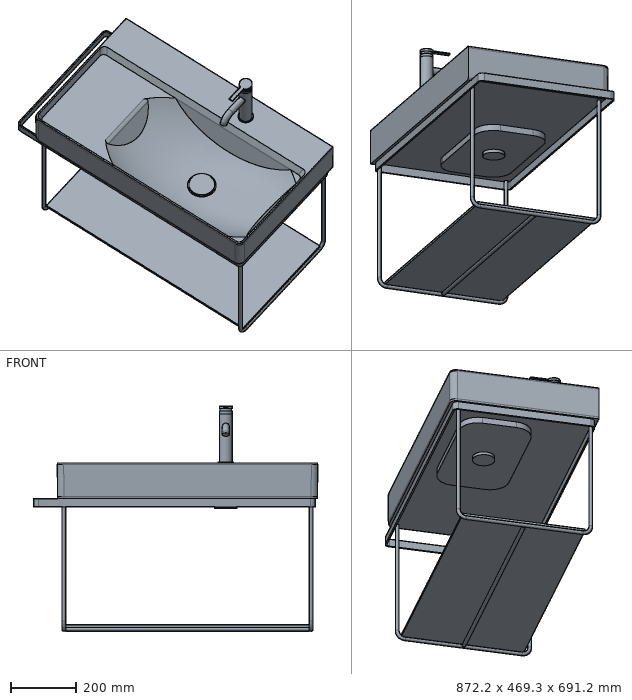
import cadquery as cq
import math


BASIN_WIDTH = 800.0
BASIN_DEPTH = 469.3
BASIN_HEIGHT = 110.0
BASIN_CORNER_RADIUS = 20.0
SIDE_LEAN = 0.5
TOP_EDGE_HEIGHT = 5.5
TOP_EDGE_INSET = 1.5
FOOT_HEIGHT = 6.0
FOOT_INSET = 1.5

RIM_WIDTH = 7.0
LEDGE_DEPTH = 122.0
TRAY_DEPTH = 20.0
RECESS_CORNER_RADIUS = 15.0
RECESS_SIDE_SLOPE = 8.0
RECESS_REAR_SLOPE = 14.0

BOWL_LEFT = -172.0
BOWL_LIP_RADIUS = 18.0
BOWL_RIM_RADIUS = 30.0
WALL_FOOT_LEFT = -70.0
WALL_FOOT_RIGHT = 318.0
WALL_FOOT_REAR = -181.0
WALL_FOOT_FRONT = -408.0
WALL_FOOT_RADIUS = 60.0
FLOOR_RADIUS_ALONG_X = 644.0
FLOOR_RADIUS_ALONG_Y = 288.0
FLOOR_LOWEST_Z = -116.0
SEAT_Z = -118.0
BELLY_THICKNESS = 12.0

DRAIN_X = 117.5
DRAIN_Y = -294.0
DRAIN_FLANGE_DIAMETER = 88.0
DRAIN_FLANGE_THICKNESS = 3.0
DRAIN_STEM_DIAMETER = 45.0
DRAIN_NUT_DIAMETER = 68.0
DRAIN_BOTTOM_Z = -140.0
COVER_DIAMETER = 80.0
COVER_THICKNESS = 6.0

RAIL_LEFT = -472.2
RAIL_RIGHT = 392.5
RAIL_REAR = -9.0
RAIL_FRONT = -458.5
RAIL_HEIGHT = 25.0
RAIL_THICKNESS = 5.0
RAIL_CORNER_RADIUS = 15.0

TUBE_DIAMETER = 12.0
LEG_X = 379.5
LEG_REAR_Y = -21.5
LEG_FRONT_Y = -441.0
LEG_BOTTOM_Z = -516.86
LEG_BEND_RADIUS = 25.0
SHELF_THICKNESS = 8.0
SHELF_REAR = -40.0
SHELF_FRONT = -428.0

TAP_Y = -71.5
TAP_TOP = 174.3
TAP_DIAMETER = 40.0
TAP_BASE_DIAMETER = 47.0
TAP_BASE_HEIGHT = 2.5
TAP_BODY_TOP = 150.0
SPOUT_DIAMETER = 22.0
SPOUT_Z = 111.0
SPOUT_STRAIGHT_END = -150.0
SPOUT_BEND_RADIUS = 36.0
SPOUT_BEND_ANGLE = 60.0
SPOUT_TIP_LENGTH = 7.0

HANDLE_NECK_DIAMETER = 36.0
HANDLE_RING_HEIGHT = 9.0
HANDLE_CAP_HEIGHT = 8.0
LEVER_TIP_Y = -147.0
LEVER_WIDTH = 13.0
LEVER_THICKNESS = 4.0

RECESS_X = BASIN_WIDTH / 2 - RIM_WIDTH
RECESS_FRONT = -BASIN_DEPTH + RIM_WIDTH
TRAY_X = RECESS_X - RECESS_SIDE_SLOPE
TRAY_FRONT = RECESS_FRONT + RECESS_SIDE_SLOPE
TRAY_REAR = -LEDGE_DEPTH - RECESS_REAR_SLOPE
BELLY_Z = SEAT_Z - BELLY_THICKNESS
FLANGE_TOP = SEAT_Z + DRAIN_FLANGE_THICKNESS
RAIL_BOTTOM = -BASIN_HEIGHT - RAIL_HEIGHT
TUBE_AXIS_Z = LEG_BOTTOM_Z + TUBE_DIAMETER / 2


def cylinder(x, y, bottom, top, diameter):
    """An upright cylinder centred on (x, y)."""
    return cq.Workplane("XY", origin=(x, y, bottom)).circle(diameter / 2).extrude(top - bottom)


def rounded_plate(left, right, front, rear, bottom, top, radius):
    """An upright block whose vertical edges are rounded."""
    block = cq.Workplane("XY", origin=((left + right) / 2, (front + rear) / 2, bottom))
    return block.rect(right - left, rear - front).extrude(top - bottom).edges("|Z").fillet(radius)


def rounded_outline(left, right, front, rear, z, radius):
    """A flat rounded rectangle, as a section for a loft."""
    corners = [(left, front, z), (right, front, z), (right, rear, z), (left, rear, z)]
    outline = cq.Wire.makePolygon([cq.Vector(*corner) for corner in corners], close=True)
    return outline.fillet2D(radius, outline.Vertices())


def straight_loft(*sections):
    return cq.Workplane(cq.Solid.makeLoft(list(sections), True))


def basin_section(z, inset):
    """The basin's outline drawn in by an inset; it runs on behind the rear face, where it is cut off."""
    side = BASIN_WIDTH / 2 - inset
    front = -BASIN_DEPTH + inset
    return rounded_outline(-side, side, front, BASIN_CORNER_RADIUS, z, BASIN_CORNER_RADIUS)


def basin_shell():
    """The outer block: softened top edge, sides leaning in a little, drawn-in foot."""
    sections = straight_loft(
        basin_section(0, TOP_EDGE_INSET),
        basin_section(-TOP_EDGE_HEIGHT, 0),
        basin_section(FOOT_HEIGHT - BASIN_HEIGHT, SIDE_LEAN),
        basin_section(-BASIN_HEIGHT, SIDE_LEAN + FOOT_INSET),
    )
    behind = cq.Workplane("XY").box(2 * BASIN_WIDTH, BASIN_DEPTH, 3 * BASIN_HEIGHT)
    return sections.cut(behind.translate((0, BASIN_DEPTH / 2, 0)))


def bowl_cavity():
    """Sloping walls that end in a shallow floor, which is the underside of a barrel lying along X."""
    walls = straight_loft(
        rounded_outline(BOWL_LEFT, TRAY_X, TRAY_FRONT, TRAY_REAR, -TRAY_DEPTH, BOWL_RIM_RADIUS),
        rounded_outline(WALL_FOOT_LEFT, WALL_FOOT_RIGHT, WALL_FOOT_FRONT, WALL_FOOT_REAR,
                        BELLY_Z, WALL_FOOT_RADIUS),
    )
    half = BASIN_WIDTH / 2
    sag = FLOOR_RADIUS_ALONG_X - math.sqrt(FLOOR_RADIUS_ALONG_X**2 - half**2)
    barrel = (
        cq.Workplane("XZ", origin=(DRAIN_X, DRAIN_Y, FLOOR_LOWEST_Z + FLOOR_RADIUS_ALONG_Y))
        .moveTo(-half, 0)
        .lineTo(-half, sag - FLOOR_RADIUS_ALONG_Y)
        .threePointArc((0, -FLOOR_RADIUS_ALONG_Y), (half, sag - FLOOR_RADIUS_ALONG_Y))
        .lineTo(half, 0)
        .close()
        .revolve(360, (0, 0), (1, 0))
    )
    return walls.intersect(barrel)


def make_basin():
    recess = straight_loft(
        rounded_outline(-RECESS_X, RECESS_X, RECESS_FRONT, -LEDGE_DEPTH, 0, RECESS_CORNER_RADIUS),
        rounded_outline(-TRAY_X, TRAY_X, TRAY_FRONT, TRAY_REAR, -TRAY_DEPTH, RECESS_CORNER_RADIUS),
    )
    belly = rounded_plate(WALL_FOOT_LEFT, WALL_FOOT_RIGHT, WALL_FOOT_FRONT, WALL_FOOT_REAR,
                          BELLY_Z, -BASIN_HEIGHT, WALL_FOOT_RADIUS)
    body = basin_shell().union(belly).cut(recess).cut(bowl_cavity())
    lip = cq.selectors.NearestToPointSelector((BOWL_LEFT, DRAIN_Y, -TRAY_DEPTH))
    body = body.edges(lip).fillet(BOWL_LIP_RADIUS)
    body = body.cut(cylinder(DRAIN_X, DRAIN_Y, SEAT_Z, FLANGE_TOP, DRAIN_FLANGE_DIAMETER))
    return body.cut(cylinder(DRAIN_X, DRAIN_Y, BELLY_Z, SEAT_Z, DRAIN_STEM_DIAMETER))


def make_drain():
    """A flange in the bowl, a stem through the basin and a nut below it."""
    flange = cylinder(DRAIN_X, DRAIN_Y, SEAT_Z, FLANGE_TOP, DRAIN_FLANGE_DIAMETER)
    stem = cylinder(DRAIN_X, DRAIN_Y, BELLY_Z, SEAT_Z, DRAIN_STEM_DIAMETER)
    nut = cylinder(DRAIN_X, DRAIN_Y, DRAIN_BOTTOM_Z, BELLY_Z, DRAIN_NUT_DIAMETER)
    return flange.union(stem).union(nut)


def make_drain_cover():
    return cylinder(DRAIN_X, DRAIN_Y, FLANGE_TOP, FLANGE_TOP + COVER_THICKNESS, COVER_DIAMETER)


def make_rail():
    wall = RAIL_THICKNESS
    outside = rounded_plate(RAIL_LEFT, RAIL_RIGHT, RAIL_FRONT, RAIL_REAR,
                            RAIL_BOTTOM, -BASIN_HEIGHT, RAIL_CORNER_RADIUS)
    inside = rounded_plate(RAIL_LEFT + wall, RAIL_RIGHT - wall, RAIL_FRONT + wall, RAIL_REAR - wall,
                           RAIL_BOTTOM, -BASIN_HEIGHT, RAIL_CORNER_RADIUS - wall)
    return outside.cut(inside)


def make_leg(x):
    """A tube bent to a U that hangs from the basin's underside."""
    path = (
        cq.Workplane("YZ", origin=(x, 0, 0))
        .moveTo(LEG_REAR_Y, -BASIN_HEIGHT)
        .lineTo(LEG_REAR_Y, TUBE_AXIS_Z + LEG_BEND_RADIUS)
        .radiusArc((LEG_REAR_Y - LEG_BEND_RADIUS, TUBE_AXIS_Z), LEG_BEND_RADIUS)
        .lineTo(LEG_FRONT_Y + LEG_BEND_RADIUS, TUBE_AXIS_Z)
        .radiusArc((LEG_FRONT_Y, TUBE_AXIS_Z + LEG_BEND_RADIUS), LEG_BEND_RADIUS)
        .lineTo(LEG_FRONT_Y, -BASIN_HEIGHT)
    )
    start = cq.Workplane("XY", origin=(x, LEG_REAR_Y, -BASIN_HEIGHT))
    return start.circle(TUBE_DIAMETER / 2).sweep(path)


def make_cross_bar():
    """A straight tube between the two legs, under the shelf."""
    half = LEG_X - TUBE_DIAMETER / 2
    middle_y = (LEG_REAR_Y + LEG_FRONT_Y) / 2
    start = cq.Workplane("YZ", origin=(-half, middle_y, TUBE_AXIS_Z))
    return start.circle(TUBE_DIAMETER / 2).extrude(2 * half)


def make_shelf():
    """A plate that rests on the legs' lower runs."""
    bottom = LEG_BOTTOM_Z + TUBE_DIAMETER
    start = cq.Workplane("XY", origin=(0, (SHELF_REAR + SHELF_FRONT) / 2, bottom))
    return start.rect(2 * LEG_X, SHELF_REAR - SHELF_FRONT).extrude(SHELF_THICKNESS)


def make_tap():
    """The tap's base, upright body and bent spout."""
    base = cylinder(DRAIN_X, TAP_Y, 0, TAP_BASE_HEIGHT, TAP_BASE_DIAMETER)
    body = cylinder(DRAIN_X, TAP_Y, TAP_BASE_HEIGHT, TAP_BODY_TOP, TAP_DIAMETER)
    angle = math.radians(SPOUT_BEND_ANGLE)
    bend_y = SPOUT_STRAIGHT_END - SPOUT_BEND_RADIUS * math.sin(angle)
    bend_z = SPOUT_Z - SPOUT_BEND_RADIUS * (1 - math.cos(angle))
    tip = (bend_y - SPOUT_TIP_LENGTH * math.cos(angle), bend_z - SPOUT_TIP_LENGTH * math.sin(angle))
    path = (
        cq.Workplane("YZ", origin=(DRAIN_X, 0, 0))
        .moveTo(TAP_Y, SPOUT_Z)
        .lineTo(SPOUT_STRAIGHT_END, SPOUT_Z)
        .radiusArc((bend_y, bend_z), -SPOUT_BEND_RADIUS)
        .lineTo(*tip)
    )
    start = cq.Workplane("XZ", origin=(DRAIN_X, TAP_Y, SPOUT_Z))
    spout = start.circle(SPOUT_DIAMETER / 2).sweep(path)
    return base.union(body).union(spout)


def make_handle():
    """A grooved knob on top of the tap, with a flat lever."""
    ring_top = TAP_BODY_TOP + HANDLE_RING_HEIGHT
    cap_bottom = TAP_TOP - HANDLE_CAP_HEIGHT
    ring = cylinder(DRAIN_X, TAP_Y, TAP_BODY_TOP, ring_top, TAP_DIAMETER)
    neck = cylinder(DRAIN_X, TAP_Y, ring_top, cap_bottom, HANDLE_NECK_DIAMETER)
    cap = cylinder(DRAIN_X, TAP_Y, cap_bottom, TAP_TOP, TAP_DIAMETER)
    length = TAP_Y - LEVER_TIP_Y
    start = cq.Workplane("XY", origin=(DRAIN_X, TAP_Y - length / 2, TAP_TOP - LEVER_THICKNESS))
    lever = start.rect(LEVER_WIDTH, length).extrude(LEVER_THICKNESS)
    return ring.union(neck).union(cap).union(lever)


basin = make_basin()
rail = make_rail()
legs = [make_leg(x) for x in (-LEG_X, LEG_X)]
cross_bar = make_cross_bar()
shelf = make_shelf()
drain = make_drain()
drain_cover = make_drain_cover()
tap = make_tap()
handle = make_handle()

result = cq.Compound.makeCompound([
    basin.val(),
    rail.val(),
    *[leg.val() for leg in legs],
    cross_bar.val(),
    shelf.val(),
    drain.val(),
    drain_cover.val(),
    tap.val(),
    handle.val(),
])